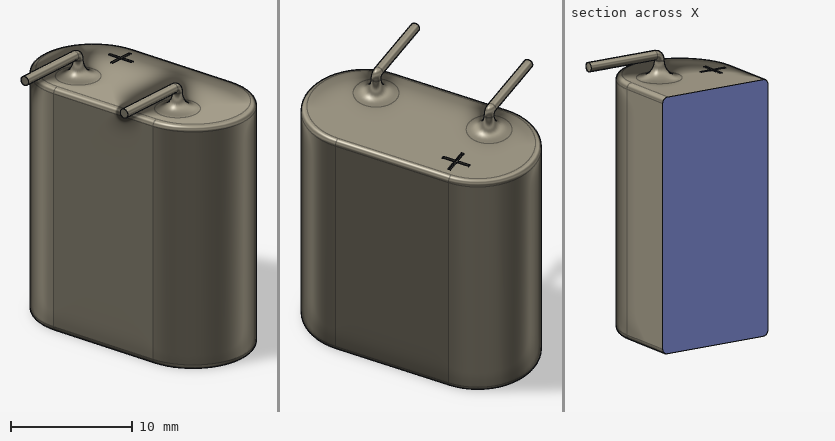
import cadquery as cq

can_length = 21.0
can_depth = can_length / 2
can_height = 22.0
edge_radius = 0.5

wire_diameter = 0.8
wire_radius = wire_diameter / 2
overall_height = 24.4
lead_spacing = can_length - can_depth
lead_y = -2.03
lead_tip_y = -9.05
bend_radius = 0.45
wire_axis_z = overall_height - wire_radius
bend_start_z = wire_axis_z - bend_radius

flare_radius = 1.5

mark_x = -4.78
mark_y = 3.0
mark_size = 2.45
mark_stroke = 0.25
mark_depth = 0.2


def make_can():
    can = cq.Workplane("XY").slot2D(can_length, can_depth).extrude(can_height)
    return can.faces("<Z or >Z").edges().fillet(edge_radius)


def make_flare(x):
    """Revolve a quarter-round concave profile around the lead axis."""
    base_radius = wire_radius + flare_radius
    arc_offset = flare_radius * (1 - 0.5**0.5)
    profile = (
        cq.Workplane("XZ")
        .moveTo(0, -edge_radius)
        .lineTo(base_radius, -edge_radius)
        .lineTo(base_radius, 0)
        .threePointArc((wire_radius + arc_offset, arc_offset), (wire_radius, flare_radius))
        .lineTo(0, flare_radius)
        .close()
    )
    return profile.revolve(360, (0, 0, 0), (0, 1, 0)).translate((x, lead_y, can_height))


def make_lead(x):
    """Upright wire, a tight quarter bend, then a straight run toward -Y."""
    base_z = can_height - edge_radius
    upright = (
        cq.Workplane("XY", origin=(x, lead_y, base_z))
        .circle(wire_radius)
        .extrude(bend_start_z - base_z)
    )
    bend = (
        cq.Workplane("XY", origin=(x, lead_y, bend_start_z))
        .circle(wire_radius)
        .revolve(90, (-0.25, -bend_radius, 0), (0.25, -bend_radius, 0))
    )
    run_start_y = lead_y - bend_radius
    run = (
        cq.Workplane("XZ", origin=(x, run_start_y, wire_axis_z))
        .circle(wire_radius)
        .extrude(run_start_y - lead_tip_y)
    )
    return upright.union(bend).union(run)


def make_polarity_mark():
    bar = cq.Workplane("XY").box(mark_size, mark_stroke, 2 * mark_depth)
    plus = bar.union(bar.rotate((0, 0, 0), (0, 0, 1), 90))
    return plus.translate((mark_x, mark_y, can_height))


result = make_can()
for lead_x in (-lead_spacing / 2, lead_spacing / 2):
    result = result.union(make_flare(lead_x)).union(make_lead(lead_x))
result = result.cut(make_polarity_mark())